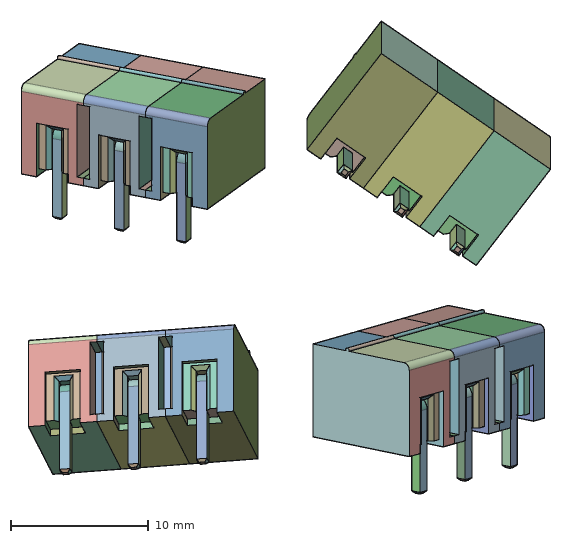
import cadquery as cq


module_count = 3
row_length = 15.24
pitch = row_length / module_count
depth = 9.2
height = 6.98
front_edge_radius = 0.5

rib_radius = 0.18
rib_y = 5.91
rib_top_z = 7.2
rib_z = rib_top_z - rib_radius
rib_root_z = height - 0.15

pin_size = 0.8
pin_front_y = 0.8
pin_tip_z = -3.41
tip_chamfer = 0.2
leg_top_z = 3.69
leg_end_y = depth / 2

window_width = 2.59
window_top_z = 4.2
window_depth = 0.4
funnel_mouth_width = 1.42
funnel_depth = (funnel_mouth_width - pin_size) / 2
funnel_throat_y = window_depth + funnel_depth
funnel_mouth_top_z = leg_top_z + funnel_depth

foot_recess_height = 0.5
foot_recess_depth = 2.0

slot_width = 1.0
slot_bottom_z = 0.6
slot_top_z = 6.3
slot_depth = 2.0


def block(x_center, width, y_start, y_end, z_start, z_end):
    """Box centred on x_center in X and given by its end positions in Y and Z."""
    size = (width, y_end - y_start, z_end - z_start)
    corner = (x_center - width / 2, y_start, z_start)
    return cq.Workplane("XY").box(*size, centered=False).translate(corner)


def make_pin(x_center):
    """Square pin: an upright with a chamfered tip, turned at a rounded corner into a leg running back."""
    pin_back_y = pin_front_y + pin_size
    leg_bottom_z = leg_top_z - pin_size
    return (
        cq.Workplane("YZ", origin=(x_center - pin_size / 2, 0, 0))
        .moveTo(pin_front_y, pin_tip_z)
        .lineTo(pin_front_y, leg_bottom_z)
        .radiusArc((pin_back_y, leg_top_z), pin_size)
        .lineTo(leg_end_y, leg_top_z)
        .lineTo(leg_end_y, leg_bottom_z)
        .lineTo(pin_back_y, leg_bottom_z)
        .lineTo(pin_back_y, pin_tip_z)
        .close()
        .extrude(pin_size)
        .faces("<Z")
        .chamfer(tip_chamfer)
    )


def make_body(x_center):
    """Plain module with its rounded front top edge and the latch rib."""
    body = block(x_center, pitch, 0, depth, 0, height)
    body = body.edges("|X and >Z and <Y").fillet(front_edge_radius)
    rib = (
        cq.Workplane("YZ", origin=(x_center - pitch / 2, 0, 0))
        .moveTo(rib_y - rib_radius, rib_root_z)
        .lineTo(rib_y - rib_radius, rib_z)
        .threePointArc((rib_y, rib_top_z), (rib_y + rib_radius, rib_z))
        .lineTo(rib_y + rib_radius, rib_root_z)
        .close()
        .extrude(pitch)
    )
    return body.union(rib)


def make_funnel(x_center):
    """Tapered opening that narrows from the window wall down to the pin channel."""
    half_mouth = funnel_mouth_width / 2
    half_throat = pin_size / 2
    sides = (
        cq.Workplane("XY", origin=(x_center, 0, foot_recess_height))
        .polyline([
            (-half_mouth, window_depth),
            (half_mouth, window_depth),
            (half_throat, funnel_throat_y),
            (-half_throat, funnel_throat_y),
        ])
        .close()
        .extrude(funnel_mouth_top_z - foot_recess_height)
    )
    sloped_top = (
        cq.Workplane("YZ", origin=(x_center - half_mouth, 0, 0))
        .polyline([
            (window_depth, foot_recess_height),
            (window_depth, funnel_mouth_top_z),
            (funnel_throat_y, leg_top_z),
            (funnel_throat_y, foot_recess_height),
        ])
        .close()
        .extrude(funnel_mouth_width)
    )
    return sides.intersect(sloped_top)


def make_pin_opening(x_center):
    """Everything cut around a pin: window, funnel, pin channel and foot recess."""
    window = block(x_center, window_width, 0, window_depth, 0, window_top_z)
    channel = block(x_center, pin_size, funnel_throat_y, pin_front_y + pin_size,
                    foot_recess_height, leg_top_z)
    foot_recess = block(x_center, window_width, 0, foot_recess_depth, 0, foot_recess_height)
    return window.union(make_funnel(x_center)).union(channel).union(foot_recess)


def make_slot(x_center):
    """Front slot straddling the joint between two modules."""
    return block(x_center, slot_width, 0, slot_depth, slot_bottom_z, slot_top_z)


def make_module(index, pin):
    """Housing module fitted around its pin; the row's outer ends carry no slot."""
    x_center = (index + 0.5) * pitch
    module = make_body(x_center).cut(make_pin_opening(x_center)).cut(pin)
    if index > 0:
        module = module.cut(make_slot(index * pitch))
    if index < module_count - 1:
        module = module.cut(make_slot((index + 1) * pitch))
    return module


pins = [make_pin((index + 0.5) * pitch) for index in range(module_count)]
modules = [make_module(index, pin) for index, pin in enumerate(pins)]

result = cq.Compound.makeCompound([body.solids().val() for body in modules + pins])